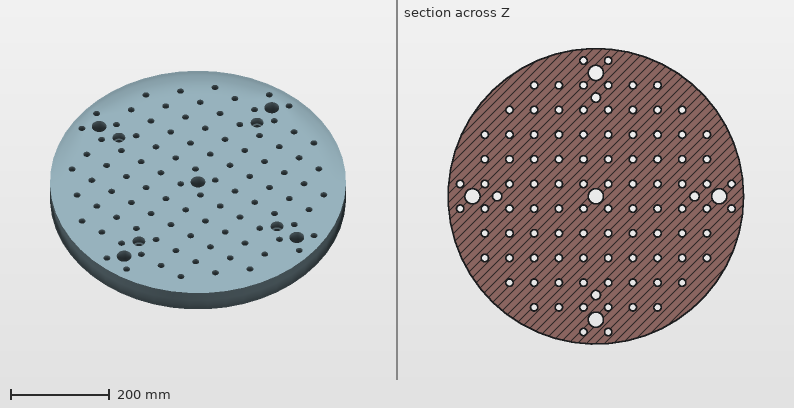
import cadquery as cq
import math

plate_diameter = 600.0
plate_thickness = 50.0

grid_pitch = 50.0
grid_hole_diameter = 14.0
grid_columns = 12
grid_edge_margin = 20.0

large_hole_diameter = 30.0
large_hole_centre_distance = 250.0

mount_hole_diameter = 18.0
mount_bore_diameter = 26.0
mount_bore_depth = 18.0
mount_hole_centre_distance = 200.0


def grid_points():
    """Grid positions that keep the edge margin inside the rim."""
    reach = plate_diameter / 2 - grid_edge_margin
    offsets = [(i - (grid_columns - 1) / 2) * grid_pitch for i in range(grid_columns)]
    return [(x, y) for x in offsets for y in offsets if math.hypot(x, y) <= reach]


def axis_points(distance):
    """Four positions on the X and Y axes at the given distance from the centre."""
    return [(distance, 0), (0, distance), (-distance, 0), (0, -distance)]


def top_face(body):
    """Workplane on the upper face, centred on the plate axis."""
    return body.faces(">Z").workplane(origin=(0, 0, plate_thickness))


plate = cq.Workplane("XY").circle(plate_diameter / 2).extrude(plate_thickness)

plate = top_face(plate).pushPoints(grid_points()).hole(grid_hole_diameter)

large_hole_points = [(0, 0)] + axis_points(large_hole_centre_distance)
plate = top_face(plate).pushPoints(large_hole_points).hole(large_hole_diameter)

result = (
    top_face(plate)
    .pushPoints(axis_points(mount_hole_centre_distance))
    .cboreHole(mount_hole_diameter, mount_bore_diameter, mount_bore_depth)
)